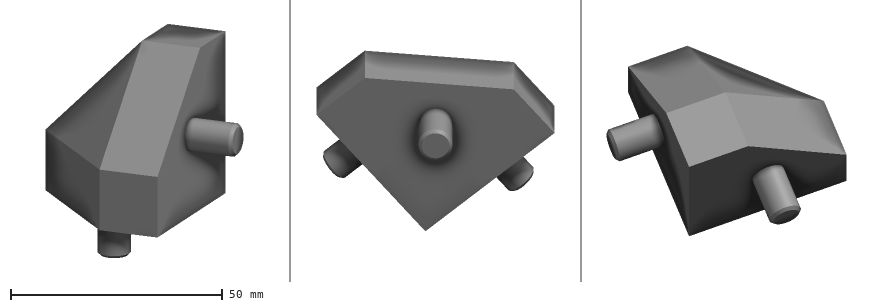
import cadquery as cq

overall = 52.0
block_side = 40.0
corner_width = 15.0
pin_diameter = 8.0
pin_chamfer = 0.75

pin_length = overall - block_side
pin_offset = block_side / 2
bevel_leg = block_side - corner_width


def bevel_cutter(plane, corner_x, corner_y, inward_x, inward_y):
    """Triangular prism that bevels one edge of the cube at 45 degrees."""
    return (
        cq.Workplane(plane)
        .moveTo(corner_x, corner_y)
        .lineTo(corner_x + inward_x * bevel_leg, corner_y)
        .lineTo(corner_x, corner_y + inward_y * bevel_leg)
        .close()
        .extrude(block_side, both=True)
    )


def corner_cutter():
    """Half space, as a large box, beyond the triangular face between the three bevels."""
    face_point = (bevel_leg, bevel_leg, block_side)
    face_normal = (-1, -1, 1)
    face_plane = cq.Plane(origin=face_point, normal=face_normal)
    cutter_width = 4 * block_side
    return cq.Workplane(face_plane).rect(cutter_width, cutter_width).extrude(block_side)


def make_block():
    """Cube with the three edges around its -X, -Y, +Z corner bevelled and that corner cut off."""
    cube = cq.Workplane("XY").box(block_side, block_side, block_side, centered=False)
    return (
        cube
        .cut(bevel_cutter("XY", 0, 0, 1, 1))
        .cut(bevel_cutter("XZ", 0, block_side, 1, -1))
        .cut(bevel_cutter("YZ", 0, block_side, 1, -1))
        .cut(corner_cutter())
    )


def make_pin(base_center, direction):
    """Round pin standing on a flat face of the block, chamfered at its free end."""
    base_plane = cq.Plane(origin=base_center, normal=direction)
    return (
        cq.Workplane(base_plane)
        .circle(pin_diameter / 2)
        .extrude(pin_length)
        .faces(cq.selectors.DirectionMinMaxSelector(cq.Vector(*direction), True))
        .chamfer(pin_chamfer)
    )


block = make_block()

pin_seats = [
    ((block_side, pin_offset, pin_offset), (1, 0, 0)),
    ((pin_offset, block_side, pin_offset), (0, 1, 0)),
    ((pin_offset, pin_offset, 0), (0, 0, -1)),
]
pins = [make_pin(center, direction) for center, direction in pin_seats]

result = cq.Compound.makeCompound([block.val(), *[pin.val() for pin in pins]])